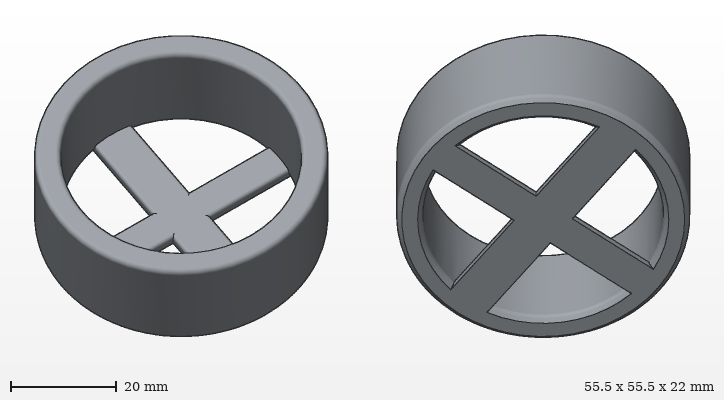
import cadquery as cq

outer_diameter = 55.5
inner_diameter = 45.5
height = 22.0
edge_size = 1.0

bar_width_along_x = 8.6
bar_width_along_y = 6.95
bar_thickness = 2.0
bar_fillet = 0.7

bar_length = (outer_diameter + inner_diameter) / 2


def make_ring():
    """Tube with rounded top edges and eased chamfers around the bottom."""
    ring = cq.Workplane("XY").circle(outer_diameter / 2).circle(inner_diameter / 2).extrude(height)
    ring = ring.faces("<Z").edges().chamfer(edge_size)
    chamfer_top = cq.selectors.BoxSelector(
        (-outer_diameter, -outer_diameter, edge_size / 2),
        (outer_diameter, outer_diameter, height / 2),
        boundingbox=True,
    )
    ring = ring.edges(chamfer_top).fillet(edge_size)
    return ring.faces(">Z").edges().fillet(edge_size)


def make_cross():
    """Two crossed bars with all upper edges rounded."""
    bar_x = cq.Workplane("XY").rect(bar_length, bar_width_along_x).extrude(bar_thickness)
    bar_y = cq.Workplane("XY").rect(bar_width_along_y, bar_length).extrude(bar_thickness)
    return bar_x.union(bar_y).faces(">Z").edges().fillet(bar_fillet)


result = make_ring().union(make_cross())